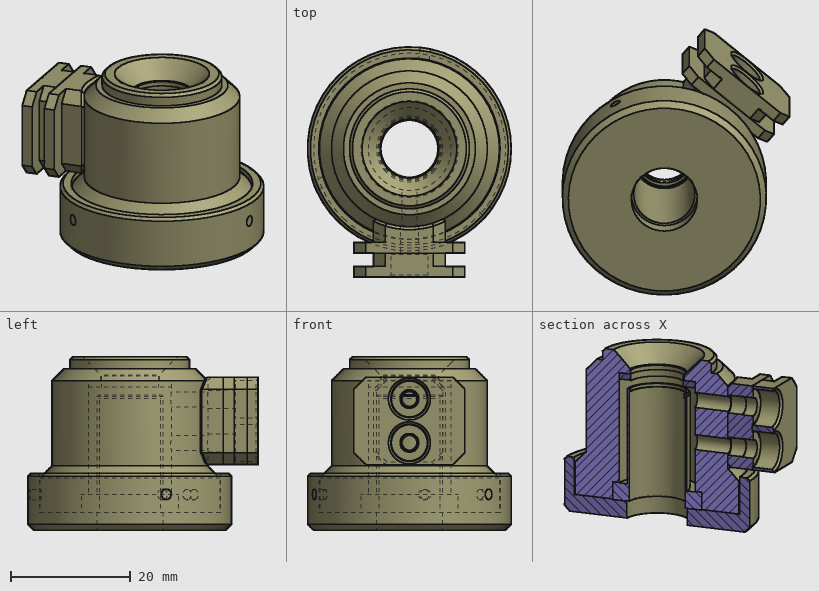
import cadquery as cq
ring_diameter = 34.0
ring_height = 9.5
ring_bore_diameter = 30.25
ring_floor = 3.0
ring_bottom_chamfer = 1.0
ring_top_chamfer = 0.5

pin_diameter = 1.75
pin_count = 3
pin_height = 6.0
first_pin_angle = 81.0

total_height = 28.93
barrel_diameter = 26.0
flange_diameter = 30.0
flange_slope_top = 10.73
neck_diameter = 20.0
neck_height = 2.0
neck_chamfer = 0.5
shoulder_chamfer = 2.0
mouth_top_diameter = 15.8
mouth_diameter = 9.8
plenum_diameter = 13.8
base_bore_diameter = 16.2
base_bore_depth = 3.0
port_diameter = 2.5

nozzle_bore_diameter = 9.5
nozzle_flange_top = 24.98
nozzle_bottom = 23.91

tube_diameter = 11.0
tube_top = 22.6
tube_chamfer = 0.25
tube_lip_diameter = 9.8
tube_lip_height = 0.6
tube_bore_diameter = 10.2

front_reach = 21.4
front_plate_thickness = 1.8
groove_width = 2.2
rear_plate_thickness = 1.8
plate_width = 18.5
neck_block_width = 12.0
block_height = 14.6
block_bottom = 10.93
corner_chamfer = 2.0
contact_chamfer = 0.5
contact_margin = 0.1
socket_diameter = 6.2
socket_chamfer = 0.4
spigot_diameter = 6.0
spigot_height = 0.2
passage_front_diameter = 3.1
passage_rear_diameter = 3.0

barrel_radius = barrel_diameter / 2
shoulder_z = total_height - neck_height
mouth_z = total_height - (mouth_top_diameter - mouth_diameter) / 2
nozzle_lip_z = mouth_z - (mouth_diameter - nozzle_bore_diameter) / 2
flange_slope_bottom = flange_slope_top - (flange_diameter - barrel_diameter) / 2
base_bore_top = ring_floor + base_bore_depth
front_plate_back_y = -front_reach + front_plate_thickness
split_y = front_plate_back_y + groove_width
rear_plate_back_y = split_y + rear_plate_thickness
spigot_tip_y = split_y - spigot_height
block_middle_z = block_bottom + block_height / 2
port_heights = [block_middle_z + side * block_height / 4 for side in (-1, 1)]


def turned(profile):
    """Revolve a list of (radius, z) points about the Z axis."""
    return cq.Workplane("XZ").polyline(profile).close().revolve(360, (0, 0, 0), (0, 1, 0))


def octagon_block(width, y_front, y_back):
    """Upright block with cut corners, between two Y positions."""
    return (
        cq.Workplane("XZ", origin=(0, y_back, block_middle_z))
        .rect(width, block_height)
        .extrude(y_back - y_front)
        .edges("|Y")
        .chamfer(corner_chamfer)
    )


def port_cylinders(diameter, y_front, y_back):
    """Two cylinders along Y on the axes of the air ports."""
    centres = [(0, z) for z in port_heights]
    return (
        cq.Workplane("XZ", origin=(0, y_back, 0))
        .pushPoints(centres)
        .circle(diameter / 2)
        .extrude(y_back - y_front)
    )


def make_pins():
    """Radial pins, flush with the outside of the ring and ending at its bore."""
    wall = (
        cq.Workplane("XY")
        .circle(ring_diameter / 2)
        .circle(ring_bore_diameter / 2)
        .extrude(ring_height)
    )
    pins = []
    for index in range(pin_count):
        rod = (
            cq.Workplane("YZ", origin=(0, 0, pin_height))
            .circle(pin_diameter / 2)
            .extrude(ring_diameter)
            .rotate((0, 0, 0), (0, 0, 1), first_pin_angle + index * 360 / pin_count)
        )
        pins.append(rod.intersect(wall))
    return pins


def make_ring(pins):
    """Ring with a floor under the housing and a hole for each pin."""
    outer = ring_diameter / 2
    bore = ring_bore_diameter / 2
    opening = tube_diameter / 2
    ring = turned([
        (opening, 0),
        (outer - ring_bottom_chamfer, 0),
        (outer, ring_bottom_chamfer),
        (outer, ring_height - ring_top_chamfer),
        (outer - ring_top_chamfer, ring_height),
        (bore, ring_height),
        (bore, ring_floor),
        (opening, ring_floor),
    ])
    for pin in pins:
        ring = ring.cut(pin)
    return ring


def make_housing():
    """Flanged barrel with a conical mouth, a stepped bore and two air ports."""
    flange = flange_diameter / 2
    neck = neck_diameter / 2
    mouth = mouth_diameter / 2
    plenum = plenum_diameter / 2
    base_bore = base_bore_diameter / 2
    housing = turned([
        (base_bore, ring_floor),
        (flange, ring_floor),
        (flange, flange_slope_bottom),
        (barrel_radius, flange_slope_top),
        (barrel_radius, shoulder_z - shoulder_chamfer),
        (barrel_radius - shoulder_chamfer, shoulder_z),
        (neck, shoulder_z),
        (neck, total_height - neck_chamfer),
        (neck - neck_chamfer, total_height),
        (mouth_top_diameter / 2, total_height),
        (mouth, mouth_z),
        (mouth, nozzle_flange_top),
        (plenum, nozzle_flange_top),
        (plenum, base_bore_top),
        (base_bore, base_bore_top),
    ])
    return housing.cut(port_cylinders(port_diameter, -barrel_diameter, 0))


def make_nozzle():
    """Flanged sleeve whose lip continues the cone of the mouth."""
    bore = nozzle_bore_diameter / 2
    mouth = mouth_diameter / 2
    plenum = plenum_diameter / 2
    return turned([
        (bore, nozzle_bottom),
        (plenum, nozzle_bottom),
        (plenum, nozzle_flange_top),
        (mouth, nozzle_flange_top),
        (mouth, mouth_z),
        (bore, nozzle_lip_z),
    ])


def make_tube():
    """Tube with a base flange and a narrower lip at its top."""
    bore = tube_bore_diameter / 2
    lip = tube_lip_diameter / 2
    outer = tube_diameter / 2
    base = base_bore_diameter / 2
    return turned([
        (bore, ring_floor),
        (base, ring_floor),
        (base, base_bore_top),
        (outer, base_bore_top),
        (outer, tube_top - tube_chamfer),
        (outer - tube_chamfer, tube_top),
        (lip, tube_top),
        (lip, tube_top - tube_lip_height),
        (bore, tube_top - tube_lip_height),
    ])


def make_rear_block():
    """Saddle against the barrel, with a plate and two spigots in front."""
    barrel = cq.Workplane("XY").circle(barrel_radius).extrude(total_height)
    contact_zone = cq.selectors.BoxSelector(
        (-plate_width, -barrel_radius - contact_margin, 0),
        (plate_width, 0, total_height),
    )
    saddle = (
        octagon_block(neck_block_width, split_y, 0)
        .cut(barrel)
        .edges(contact_zone)
        .chamfer(contact_chamfer)
    )
    plate = octagon_block(plate_width, split_y, rear_plate_back_y)
    spigots = port_cylinders(spigot_diameter, spigot_tip_y, rear_plate_back_y)
    return (
        saddle.union(plate)
        .union(spigots)
        .cut(port_cylinders(passage_front_diameter, spigot_tip_y, rear_plate_back_y))
        .cut(port_cylinders(passage_rear_diameter, rear_plate_back_y, 0))
    )


def make_front_block():
    """Front plate and neck with two chamfered sockets."""
    plate = octagon_block(plate_width, -front_reach, front_plate_back_y)
    neck = octagon_block(neck_block_width, -front_reach, split_y)
    block = plate.union(neck).cut(port_cylinders(socket_diameter, -front_reach, split_y))
    return block.faces("<Y").edges("%CIRCLE").chamfer(socket_chamfer)


pins = make_pins()
ring = make_ring(pins)
housing = make_housing()
nozzle = make_nozzle()
tube = make_tube()
rear_block = make_rear_block()
front_block = make_front_block()

result = cq.Compound.makeCompound([
    housing.val(),
    ring.val(),
    nozzle.val(),
    tube.val(),
    rear_block.val(),
    front_block.val(),
    *[pin.val() for pin in pins],
])